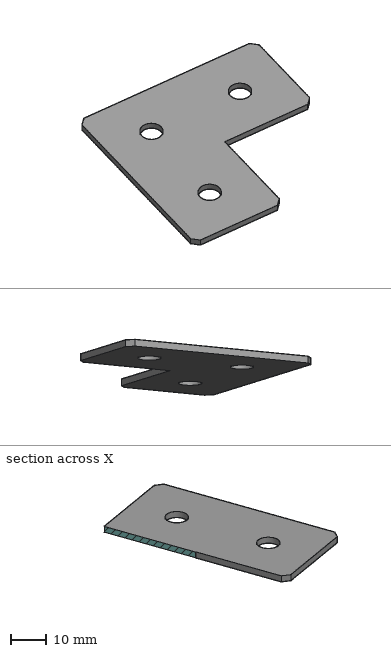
import cadquery as cq

side_length = 60.0
arm_width = side_length / 2
thickness = 2.0
corner_chamfer = 2.0
hole_diameter = 6.6

hole_inset = arm_width / 2
far_hole = side_length - hole_inset
hole_centers = [
    (hole_inset, hole_inset),
    (far_hole, hole_inset),
    (hole_inset, far_hole),
]

plate = (
    cq.Workplane("XY")
    .polyline([
        (0, 0),
        (side_length, 0),
        (side_length, arm_width),
        (arm_width, arm_width),
        (arm_width, side_length),
        (0, side_length),
    ])
    .close()
    .extrude(thickness)
)

selection_margin = 0.6
inner_corner = cq.selectors.BoxSelector(
    (arm_width - selection_margin, arm_width - selection_margin, -selection_margin),
    (arm_width + selection_margin, arm_width + selection_margin, thickness + selection_margin),
)
outer_corners = cq.selectors.SubtractSelector(cq.StringSyntaxSelector("|Z"), inner_corner)
plate = plate.edges(outer_corners).chamfer(corner_chamfer)

holes = (
    cq.Workplane("XY")
    .pushPoints(hole_centers)
    .circle(hole_diameter / 2)
    .extrude(thickness)
)

result = plate.cut(holes)